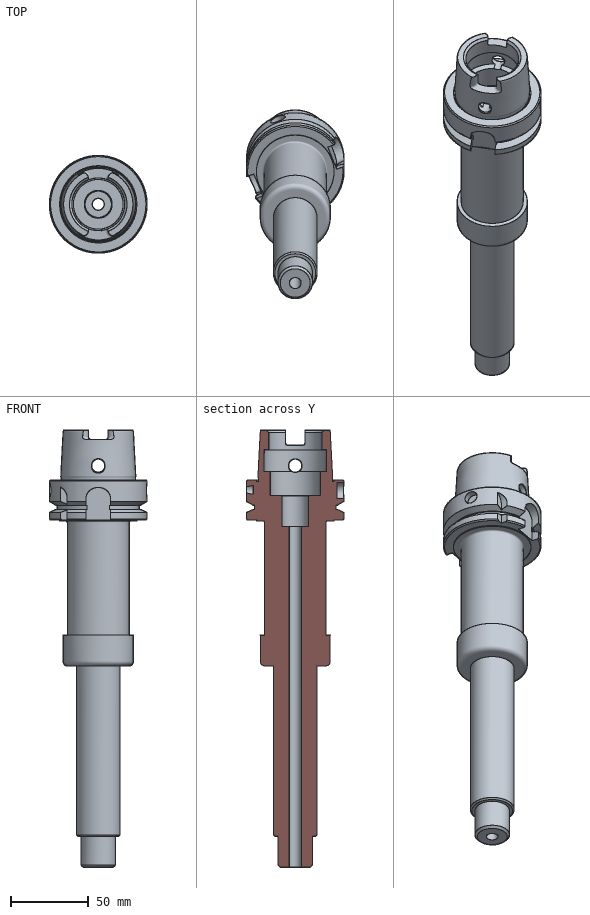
import cadquery as cq
TAPER_LENGTH = 32.0
TAPER_BASE_DIA = 48.64
TAPER_RATIO = 9.98
RELIEF_DIA = 48.0
RELIEF_LENGTH = 2.2
RELIEF_OUTER_DIA = 49.8
RELIEF_DEPTH = 1.0
RIM_CHAMFER_WIDTH = 0.4
RIM_CHAMFER_HEIGHT = 1.2

FLANGE_DIA = 63.0
FLANGE_LENGTH = 26.0
FLANGE_CHAMFER = 0.8
GROOVE_DIA = 53.0
GROOVE_STEP_DIA = 54.6
GROOVE_TOP = -14.0
GROOVE_FLOOR_TOP = -16.4
GROOVE_FLOOR_BOTTOM = -19.0
GROOVE_BOTTOM = -21.0

NECK_DIA = 40.0
SHOULDER_DIA = 50.0
SHOULDER_HEIGHT = 0.6
NECK_FILLET = 1.0
COLLAR_DIA = 45.3
COLLAR_TOP = -100.0
COLLAR_BOTTOM = -120.0
COLLAR_FILLET = 3.0
SHAFT_DIA = 28.3
SHAFT_BOTTOM = -229.7
SHAFT_CHAMFER = 1.0
TIP_DIA = 22.3
TIP_BOTTOM = -249.7
TIP_CHAMFER = 1.5

MOUTH_DIA = 37.0
BORE_DIA = 34.0
MOUTH_CONE_DEPTH = 1.5
POCKET_DIA = 40.0
POCKET_TOP = 19.2
POCKET_BOTTOM = 5.5
SEAT_DIA = 32.0
SEAT_BOTTOM = -10.0
THREAD_DIA = 16.92
THREAD_MOUTH_DIA = 18.0
THREAD_DEPTH = 20.0
COOLANT_DIA = 7.5

DRIVE_SLOT_WIDTH = 12.5
DRIVE_SLOT_CORNER = 1.6
DRIVE_SLOT_FLARE_RADIUS = 4.0
DRIVE_SLOT_FLARE_START = 16.55
FRONT_SLOT_DEPTH = 6.0
BACK_SLOT_DEPTH = 9.7

WALL_HOLE_DIA = 8.4
WALL_HOLE_MOUTH_DIA = 9.6
WALL_HOLE_LEVEL = 9.1

KEYWAY_WIDTH = 16.0
KEYWAY_TOP = -5.0
KEYWAY_CORNER = 7.5
KEYWAY_FLOOR = 25.5
NOTCH_TOP = -3.9
NOTCH_CORNER = 7.9
NOTCH_OFFSET = 20.0
RIM_HOLE_DIA = 8.5
RIM_HOLE_DEPTH = 4.6
RIM_HOLE_LEVEL = -6.5
RIM_HOLE_ANGLE = 187.0
CARRIER_DIA = 10.0
CARRIER_DEPTH = 4.6
CARRIER_LEVEL = -7.0
CARRIER_ANGLE = 0.0

OUTSIDE = FLANGE_DIA


def make_body():
    """Turned outer shape, revolved about Z."""
    flange_r = FLANGE_DIA / 2
    groove_r = GROOVE_DIA / 2
    groove_step_r = GROOVE_STEP_DIA / 2
    rim_r = (TAPER_BASE_DIA - TAPER_LENGTH / TAPER_RATIO) / 2
    relief_top_r = (TAPER_BASE_DIA - RELIEF_LENGTH / TAPER_RATIO) / 2
    shoulder_bottom = -FLANGE_LENGTH - SHOULDER_HEIGHT
    return (
        cq.Workplane("XZ")
        .moveTo(0, TAPER_LENGTH)
        .lineTo(rim_r - RIM_CHAMFER_WIDTH, TAPER_LENGTH)
        .lineTo(rim_r, TAPER_LENGTH - RIM_CHAMFER_HEIGHT)
        .lineTo(relief_top_r, RELIEF_LENGTH)
        .lineTo(RELIEF_DIA / 2, RELIEF_LENGTH / 2)
        .lineTo(RELIEF_DIA / 2, -RELIEF_DEPTH)
        .lineTo(RELIEF_OUTER_DIA / 2, -RELIEF_DEPTH)
        .lineTo(RELIEF_OUTER_DIA / 2, 0)
        .lineTo(flange_r - FLANGE_CHAMFER, 0)
        .lineTo(flange_r, -FLANGE_CHAMFER)
        .lineTo(flange_r, GROOVE_TOP)
        .lineTo(groove_step_r, GROOVE_FLOOR_TOP)
        .lineTo(groove_r, GROOVE_FLOOR_TOP)
        .lineTo(groove_r, GROOVE_FLOOR_BOTTOM)
        .lineTo(groove_step_r, GROOVE_FLOOR_BOTTOM)
        .lineTo(flange_r, GROOVE_BOTTOM)
        .lineTo(flange_r, -FLANGE_LENGTH + FLANGE_CHAMFER)
        .lineTo(flange_r - FLANGE_CHAMFER, -FLANGE_LENGTH)
        .lineTo(SHOULDER_DIA / 2, -FLANGE_LENGTH)
        .lineTo(SHOULDER_DIA / 2, shoulder_bottom)
        .lineTo(NECK_DIA / 2 + NECK_FILLET, shoulder_bottom)
        .radiusArc((NECK_DIA / 2, shoulder_bottom - NECK_FILLET), -NECK_FILLET)
        .lineTo(NECK_DIA / 2, COLLAR_TOP)
        .lineTo(COLLAR_DIA / 2, COLLAR_TOP)
        .lineTo(COLLAR_DIA / 2, COLLAR_BOTTOM + COLLAR_FILLET)
        .radiusArc((COLLAR_DIA / 2 - COLLAR_FILLET, COLLAR_BOTTOM), COLLAR_FILLET)
        .lineTo(SHAFT_DIA / 2, COLLAR_BOTTOM)
        .lineTo(SHAFT_DIA / 2, SHAFT_BOTTOM + SHAFT_CHAMFER)
        .lineTo(SHAFT_DIA / 2 - SHAFT_CHAMFER, SHAFT_BOTTOM)
        .lineTo(TIP_DIA / 2, SHAFT_BOTTOM)
        .lineTo(TIP_DIA / 2, TIP_BOTTOM + TIP_CHAMFER)
        .lineTo(TIP_DIA / 2 - TIP_CHAMFER, TIP_BOTTOM)
        .lineTo(0, TIP_BOTTOM)
        .close()
        .revolve(360, (0, 0), (0, 1))
    )


def make_bore():
    """Stepped cavity: mouth cone, clamping pocket, seat, thread and coolant hole."""
    thread_cone = (THREAD_MOUTH_DIA - THREAD_DIA) / 2
    return (
        cq.Workplane("XZ")
        .moveTo(0, TAPER_LENGTH)
        .lineTo(MOUTH_DIA / 2, TAPER_LENGTH)
        .lineTo(BORE_DIA / 2, TAPER_LENGTH - MOUTH_CONE_DEPTH)
        .lineTo(BORE_DIA / 2, POCKET_TOP)
        .lineTo(POCKET_DIA / 2, POCKET_TOP)
        .lineTo(POCKET_DIA / 2, POCKET_BOTTOM)
        .lineTo(SEAT_DIA / 2, POCKET_BOTTOM)
        .lineTo(SEAT_DIA / 2, SEAT_BOTTOM)
        .lineTo(THREAD_MOUTH_DIA / 2, SEAT_BOTTOM)
        .lineTo(THREAD_DIA / 2, SEAT_BOTTOM - thread_cone)
        .lineTo(THREAD_DIA / 2, SEAT_BOTTOM - THREAD_DEPTH)
        .lineTo(COOLANT_DIA / 2, SEAT_BOTTOM - THREAD_DEPTH)
        .lineTo(COOLANT_DIA / 2, TIP_BOTTOM)
        .lineTo(0, TIP_BOTTOM)
        .close()
        .revolve(360, (0, 0), (0, 1))
    )


def turn_to_side(cutter, side):
    """Leave a cutter on the +Y side, or turn it half a turn onto the -Y side."""
    return cutter if side > 0 else cutter.rotate((0, 0, 0), (0, 0, 1), 180)


def make_drive_slot(side, depth):
    """Flared slot across the taper rim; side is -1 for the -Y wall and +1 for the +Y wall."""
    half = DRIVE_SLOT_WIDTH / 2
    flare = DRIVE_SLOT_FLARE_RADIUS
    start = DRIVE_SLOT_FLARE_START
    slot = (
        cq.Workplane("XY")
        .moveTo(-half, 0)
        .lineTo(-half, start)
        .radiusArc((-half - flare, start + flare), -flare)
        .lineTo(-half - flare, OUTSIDE)
        .lineTo(half + flare, OUTSIDE)
        .lineTo(half + flare, start + flare)
        .radiusArc((half, start), -flare)
        .lineTo(half, 0)
        .close()
        .extrude(depth)
        .faces("<Z")
        .edges("not |X")
        .fillet(DRIVE_SLOT_CORNER)
        .translate((0, 0, TAPER_LENGTH - depth))
    )
    return turn_to_side(slot, side)


def make_wall_hole(side):
    """Countersunk hole through one taper wall; side is -1 for -Y and +1 for +Y."""
    radius = WALL_HOLE_DIA / 2
    mouth_radius = WALL_HOLE_MOUTH_DIA / 2
    surface = (TAPER_BASE_DIA - WALL_HOLE_LEVEL / TAPER_RATIO) / 2
    hole = (
        cq.Workplane("XY")
        .lineTo(radius, 0)
        .lineTo(radius, surface - (mouth_radius - radius))
        .lineTo(mouth_radius, surface)
        .lineTo(mouth_radius, OUTSIDE)
        .lineTo(0, OUTSIDE)
        .close()
        .revolve(360, (0, 0), (0, 1))
        .translate((0, 0, WALL_HOLE_LEVEL))
    )
    return turn_to_side(hole, side)


def make_round_top_slot(top, corner):
    """Cutter from Y = 0 outward, centred on X = 0, open below the flange, rounded at the top."""
    height = FLANGE_LENGTH + SHOULDER_HEIGHT + top
    return (
        cq.Workplane("XY")
        .box(KEYWAY_WIDTH, OUTSIDE, height, centered=(True, False, False))
        .edges("|Y and >Z")
        .fillet(corner)
        .translate((0, 0, top - height))
    )


def make_keyway(side):
    """Keyway on the -Y or +Y side of the flange."""
    slot = make_round_top_slot(KEYWAY_TOP, KEYWAY_CORNER).translate((0, KEYWAY_FLOOR, 0))
    return turn_to_side(slot, side)


def make_index_notch():
    """Square corner notch in the rim, midway between -X and -Y."""
    slot = turn_to_side(make_round_top_slot(NOTCH_TOP, NOTCH_CORNER), -1)
    return slot.translate((-NOTCH_OFFSET - KEYWAY_WIDTH / 2, -NOTCH_OFFSET, 0))


def make_rim_hole(diameter, depth, level, angle):
    """Blind radial hole in the flange rim; the angle is counted from +X."""
    return (
        cq.Workplane("YZ")
        .circle(diameter / 2)
        .extrude(OUTSIDE)
        .translate((FLANGE_DIA / 2 - depth, 0, level))
        .rotate((0, 0, 0), (0, 0, 1), angle)
    )


result = make_body().cut(make_bore())
for slot_side, slot_depth in ((-1, FRONT_SLOT_DEPTH), (1, BACK_SLOT_DEPTH)):
    result = result.cut(make_drive_slot(slot_side, slot_depth))
    result = result.cut(make_keyway(slot_side))
    result = result.cut(make_wall_hole(slot_side))
result = result.cut(make_index_notch())
result = result.cut(make_rim_hole(RIM_HOLE_DIA, RIM_HOLE_DEPTH, RIM_HOLE_LEVEL, RIM_HOLE_ANGLE))
result = result.cut(make_rim_hole(CARRIER_DIA, CARRIER_DEPTH, CARRIER_LEVEL, CARRIER_ANGLE))